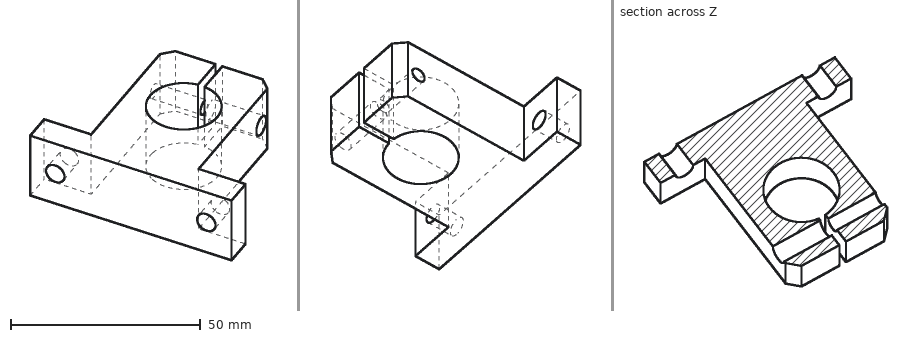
import cadquery as cq

base_length = 60.0
base_thickness = 8.0
total_depth = 50.0
height = 20.0

block_width = 32.0
corner_chamfer = 3.0

bore_diameter = 20.0
bore_center_y = 30.0
slit_width = 2.0

mount_hole_diameter = 5.5
mount_hole_spacing = 45.0
threaded_hole_diameter = 4.134
clearance_hole_diameter = 5.5
clamp_hole_edge_distance = 6.5


def make_body():
    """T-shaped body: flange along X, block along +Y with chamfered end corners."""
    flange = cq.Workplane("XY").box(base_length, base_thickness, height, centered=(True, False, True))
    block = (
        cq.Workplane("XY")
        .box(block_width, total_depth, height, centered=(True, False, True))
        .faces(">Y")
        .edges("|Z")
        .chamfer(corner_chamfer)
    )
    return flange.union(block)


def make_bore():
    """Shaft bore along Z."""
    return (
        cq.Workplane("XY")
        .center(0, bore_center_y)
        .circle(bore_diameter / 2)
        .extrude(height / 2, both=True)
    )


def make_slit():
    """Slit from the bore axis out through the +Y end."""
    slit_length = total_depth - bore_center_y
    return (
        cq.Workplane("XY")
        .box(slit_width, slit_length, height, centered=(True, False, True))
        .translate((0, bore_center_y, 0))
    )


def make_mount_holes():
    """Pair of through holes along Y in the flange."""
    return (
        cq.Workplane("XZ")
        .pushPoints([(side * mount_hole_spacing / 2, 0) for side in (-1, 1)])
        .circle(mount_hole_diameter / 2)
        .extrude(-base_thickness)
    )


def make_clamp_hole(diameter, side):
    """Screw hole along X through one jaw: side is -1 for the -X jaw, +1 for the +X jaw."""
    return (
        cq.Workplane("YZ")
        .center(total_depth - clamp_hole_edge_distance, 0)
        .circle(diameter / 2)
        .extrude(side * block_width / 2)
    )


result = make_body()
for cutter in (
    make_bore(),
    make_slit(),
    make_mount_holes(),
    make_clamp_hole(threaded_hole_diameter, -1),
    make_clamp_hole(clearance_hole_diameter, 1),
):
    result = result.cut(cutter)